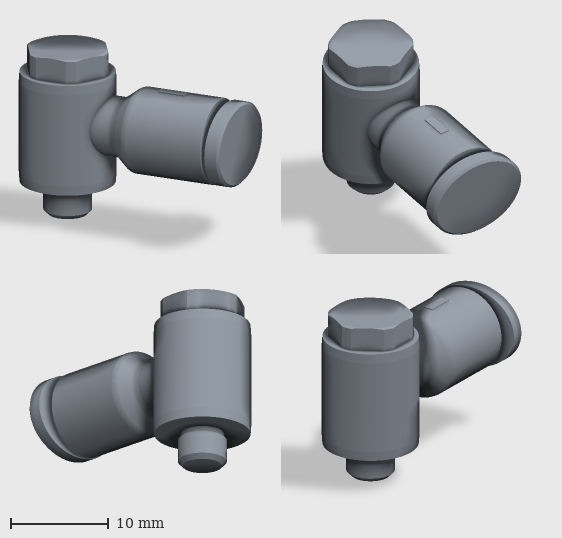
import cadquery as cq
import math


body_diameter = 10.0
body_height = 11.8
end_ring_height = 1.0
end_ring_taper = 0.07

head_height = 2.5
head_across_flats = 8.0
head_across_corners = 8.7
head_chamfer_height = 0.12

stud_length = 3.5
stud_diameter = 5.0
stud_neck_diameter = 4.5
stud_neck_length = 0.47
stud_tip_chamfer = 0.5

socket_axis_height = 6.62
stub_diameter = 6.2
barrel_diameter = 9.0
cone_start = 6.4
cone_end = 8.2
cone_blend_radius = 1.0
barrel_end = 17.08
barrel_edge_chamfer = 0.07

collar_start = 17.9
collar_end = 19.5
collar_width = 10.8
collar_height = 8.65
collar_chamfer = 0.25

sleeve_diameter = 5.5
sleeve_flare_length = 0.15
sleeve_flare_rise = 0.07

pad_length = 3.0
pad_width = 1.0
pad_rise = 0.1
pad_center = 11.88


def revolve_around_z(profile):
    """Revolve (radius, height) points around the body axis."""
    return cq.Workplane("XZ").polyline(profile).close().revolve(360, (0, 0), (0, 1))


def revolve_around_socket(profile):
    """Revolve (distance along X, radius) points around the socket axis."""
    plane = cq.Workplane("XZ", origin=(0, 0, socket_axis_height))
    return plane.polyline(profile).close().revolve(360, (0, 0), (1, 0))


def make_body():
    radius = body_diameter / 2
    end_radius = radius - end_ring_taper
    profile = [
        (0, 0),
        (end_radius, 0),
        (radius, end_ring_height),
        (radius, body_height - end_ring_height),
        (end_radius, body_height),
        (0, body_height),
    ]
    return revolve_around_z(profile)


def make_head():
    hexagon_diameter = head_across_flats / math.cos(math.pi / 6)
    base = cq.Workplane("XY", origin=(0, 0, body_height))
    hexagon = base.polygon(6, hexagon_diameter).extrude(head_height)
    chamfer_width = (head_across_corners - head_across_flats) / 2
    rounding = (
        base.circle(head_across_corners / 2)
        .extrude(head_height)
        .faces(">Z")
        .edges()
        .chamfer(head_chamfer_height, chamfer_width)
    )
    return hexagon.intersect(rounding)


def make_stud():
    radius = stud_diameter / 2
    neck_radius = stud_neck_diameter / 2
    shoulder = stud_neck_length + radius - neck_radius
    profile = [
        (0, 0),
        (neck_radius, 0),
        (neck_radius, -stud_neck_length),
        (radius, -shoulder),
        (radius, stud_tip_chamfer - stud_length),
        (radius - stud_tip_chamfer, -stud_length),
        (0, -stud_length),
    ]
    return revolve_around_z(profile)


def make_socket():
    stub_radius = stub_diameter / 2
    barrel_radius = barrel_diameter / 2
    profile = [
        (0, 0),
        (0, stub_radius),
        (cone_start, stub_radius),
        (cone_end, barrel_radius),
        (barrel_end - barrel_edge_chamfer, barrel_radius),
        (barrel_end, barrel_radius - barrel_edge_chamfer),
        (barrel_end, 0),
    ]
    socket = revolve_around_socket(profile)
    cone_end_circles = socket.faces("%CONE").faces("<X").edges("%CIRCLE")
    return cone_end_circles.fillet(cone_blend_radius)


def make_sleeve():
    radius = sleeve_diameter / 2
    profile = [
        (barrel_end, 0),
        (barrel_end, radius),
        (collar_start - sleeve_flare_length, radius),
        (collar_start, radius + sleeve_flare_rise),
        (collar_start, 0),
    ]
    return revolve_around_socket(profile)


def make_collar():
    return (
        cq.Workplane("YZ", origin=(collar_start, 0, socket_axis_height))
        .ellipse(collar_width / 2, collar_height / 2)
        .extrude(collar_end - collar_start)
        .faces(">X")
        .edges()
        .chamfer(collar_chamfer)
    )


def make_pad():
    base = cq.Workplane("XY", origin=(pad_center, 0, socket_axis_height))
    return base.rect(pad_length, pad_width).extrude(barrel_diameter / 2 + pad_rise)


result = (
    make_body()
    .union(make_head())
    .union(make_stud())
    .union(make_socket())
    .union(make_sleeve())
    .union(make_collar())
    .union(make_pad())
)